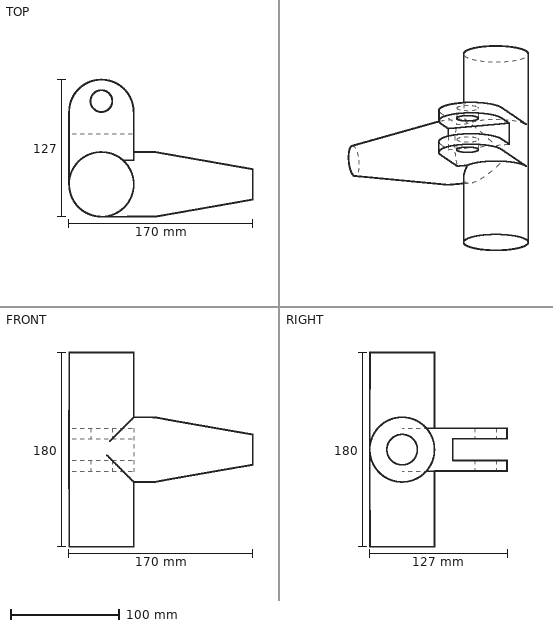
import cadquery as cq

post_height = 180.0
post_diameter = 60.0
post_radius = post_diameter / 2

stub_end_x = 50.0
arm_end_x = 140.0
arm_tip_diameter = 28.3

lug_height = 40.0
lug_end_y = 97.0
lug_round_y = lug_end_y - post_radius
slot_height = 20.0
slot_floor_y = 47.0
pin_hole_diameter = 20.0
pin_hole_y = 77.0


def make_post():
    return cq.Workplane("XY").circle(post_radius).extrude(post_height / 2, both=True)


def make_arm():
    """Revolve the half profile of the arm about the X axis."""
    return (
        cq.Workplane("XY")
        .lineTo(0, post_radius)
        .lineTo(stub_end_x, post_radius)
        .lineTo(arm_end_x, arm_tip_diameter / 2)
        .lineTo(arm_end_x, 0)
        .close()
        .revolve(360, (0, 0, 0), (1, 0, 0))
    )


def make_lug():
    """Round-ended lug starting at the post axis."""
    return (
        cq.Workplane("XY")
        .moveTo(-post_radius, 0)
        .lineTo(-post_radius, lug_round_y)
        .threePointArc((0, lug_end_y), (post_radius, lug_round_y))
        .lineTo(post_radius, 0)
        .close()
        .extrude(lug_height / 2, both=True)
    )


def make_slot():
    """Slot that splits the lug into two ears, open at the round end."""
    return cq.Workplane("XY").box(
        post_diameter, lug_end_y - slot_floor_y, slot_height
    ).translate((0, (slot_floor_y + lug_end_y) / 2, 0))


def make_pin_hole():
    return (
        cq.Workplane("XY")
        .center(0, pin_hole_y)
        .circle(pin_hole_diameter / 2)
        .extrude(lug_height / 2, both=True)
    )


lug = make_lug().cut(make_slot()).cut(make_pin_hole())
result = make_post().union(make_arm()).union(lug)